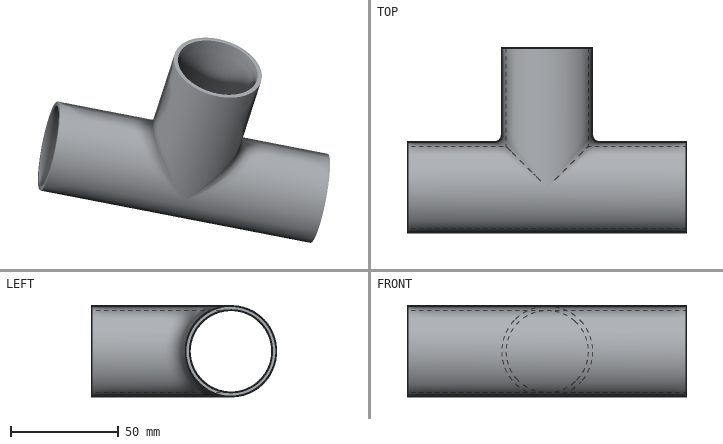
import cadquery as cq

run_length = 130.0
outer_diameter = 42.4
bore_diameter = 38.4
branch_reach = 65.0
junction_fillet = 3.0


def run_rod(diameter):
    """Rod along X, centred on the origin."""
    return cq.Workplane("YZ").circle(diameter / 2).extrude(run_length / 2, both=True)


def branch_rod(diameter):
    """Rod along Y, from the run axis out to the end of the branch."""
    return cq.Workplane("XZ").circle(diameter / 2).extrude(-branch_reach)


def tee(diameter):
    """Run and branch of the same diameter, joined into one body."""
    return run_rod(diameter).union(branch_rod(diameter))


outer_body = tee(outer_diameter).edges("%ELLIPSE").fillet(junction_fillet)

result = outer_body.cut(tee(bore_diameter))